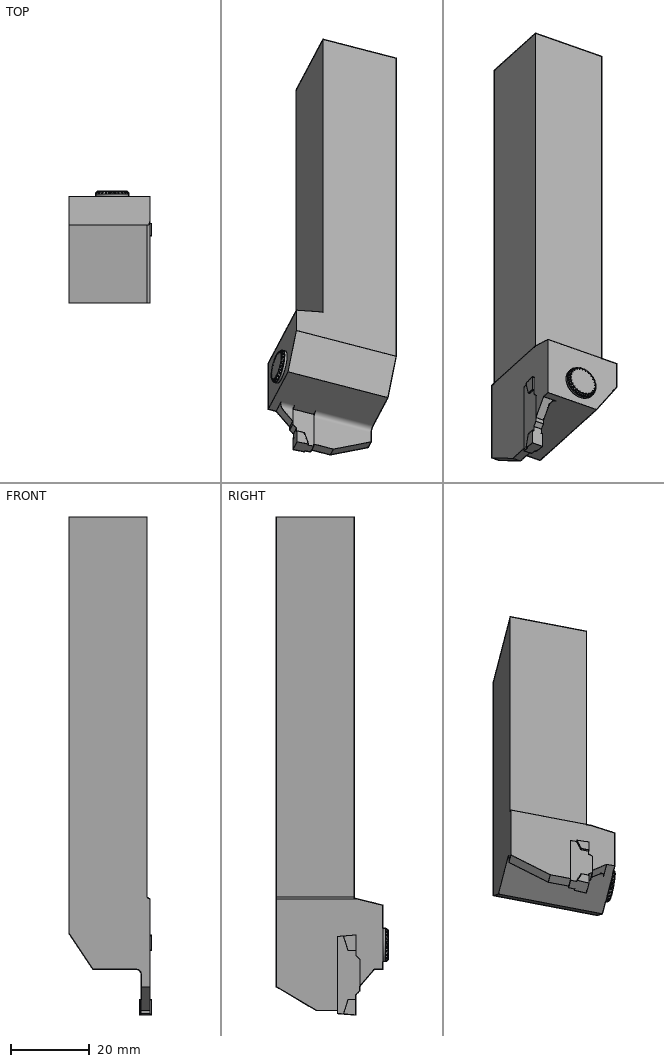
import cadquery as cq
import math

TOTAL_LENGTH = 126.4
SHANK_SIZE = 19.8

HEAD_WIDTH = 20.6
HEAD_HEIGHT = 27.0
HEAD_BOTTOM = 11.6
HEAD_SIDE_TOP = 30.0
HEAD_SIDE_BEVEL = 0.5
HEAD_BACK_TOP = 27.9
HEAD_BACK_SLOPE_TOP = 29.7
BEVEL_WIDTH = 6.1
BEVEL_TOP = 20.7

BLADE_THICKNESS = 2.3
BLADE_BOTTOM = 1.1
BLADE_FRONT_BOTTOM = 7.2
BLADE_SLOPE_HEIGHT = 10.2
CLAMP_TIP_BOTTOM = 7.3
CLAMP_BACK = 24.9
BLADE_FILLET = 1.4

INSERT_LENGTH = 20.3
INSERT_FRONT = 15.5
INSERT_BACK = 21.2
RAKE_Y = 20.2
RAKE_LENGTH = 5.2
RAKE_RAMP = 1.0
TIP_RELIEF = 0.4
TIP_OVERHANG = 0.4
TIP_LENGTH = 3.9
TIP_TOP_FRONT = 18.2
TIP_LOW_FRONT = 17.0

SCREW_DIAMETER = 8.5
SCREW_X = 11.0
SCREW_Z = 17.8
SCREW_HEIGHT = 1.4
SCREW_CHAMFER = 0.5
KNURL_COUNT = 24
KNURL_DEPTH = 0.3
KNURL_LENGTH = 0.8
KNURL_FILL = 0.8

BLADE_X = HEAD_WIDTH - BLADE_THICKNESS


def side_prism(points, x_start, width):
    """Extrude a (Y, Z) outline along +X from x_start."""
    return cq.Workplane("YZ", origin=(x_start, 0, 0)).polyline(points).close().extrude(width)


def front_prism(outline, height):
    """Extrude an (X, Z) outline along +Y from Y = 0."""
    return outline.close().extrude(-height)


def make_shank():
    length = TOTAL_LENGTH - HEAD_SIDE_TOP
    return cq.Workplane("XY", origin=(0, 0, HEAD_SIDE_TOP)).rect(
        SHANK_SIZE, SHANK_SIZE, centered=False
    ).extrude(length)


def make_head():
    """Head and blade: the front outline limited by the side outline."""
    fillet_reach = BLADE_FILLET * math.sqrt(0.5)
    fillet_middle = (
        BLADE_X - BLADE_FILLET + fillet_reach,
        HEAD_BOTTOM - BLADE_FILLET + fillet_reach,
    )
    front = front_prism(
        cq.Workplane("XZ")
        .moveTo(0, HEAD_SIDE_TOP)
        .lineTo(0, BEVEL_TOP)
        .lineTo(BEVEL_WIDTH, HEAD_BOTTOM)
        .lineTo(BLADE_X - BLADE_FILLET, HEAD_BOTTOM)
        .threePointArc(fillet_middle, (BLADE_X, HEAD_BOTTOM - BLADE_FILLET))
        .lineTo(BLADE_X, 0)
        .lineTo(HEAD_WIDTH, 0)
        .lineTo(HEAD_WIDTH, HEAD_SIDE_TOP - HEAD_SIDE_BEVEL)
        .lineTo(SHANK_SIZE, HEAD_SIDE_TOP),
        HEAD_HEIGHT,
    )
    side = side_prism(
        [
            (0, HEAD_SIDE_TOP),
            (0, BLADE_FRONT_BOTTOM),
            (BLADE_SLOPE_HEIGHT, BLADE_BOTTOM),
            (INSERT_FRONT, BLADE_BOTTOM),
            (INSERT_FRONT, CLAMP_TIP_BOTTOM),
            (INSERT_BACK, CLAMP_TIP_BOTTOM),
            (CLAMP_BACK, HEAD_BOTTOM),
            (HEAD_HEIGHT, HEAD_BOTTOM),
            (HEAD_HEIGHT, HEAD_BACK_TOP),
            (SHANK_SIZE, HEAD_BACK_SLOPE_TOP),
            (SHANK_SIZE, HEAD_SIDE_TOP),
        ],
        0,
        HEAD_WIDTH,
    )
    return front.intersect(side)


def make_screw_head():
    """Chamfered disc with V grooves around its outer end."""
    radius = SCREW_DIAMETER / 2
    top = HEAD_HEIGHT + SCREW_HEIGHT
    screw = (
        cq.Workplane("XZ", origin=(SCREW_X, HEAD_HEIGHT, SCREW_Z))
        .circle(radius)
        .extrude(-SCREW_HEIGHT)
        .faces(">Y")
        .chamfer(SCREW_CHAMFER)
    )
    root_radius = radius - SCREW_CHAMFER - KNURL_DEPTH
    groove_half_width = math.pi * radius / KNURL_COUNT * KNURL_FILL
    groove = (
        cq.Workplane("XZ", origin=(SCREW_X, top - KNURL_LENGTH, SCREW_Z))
        .polyline([(root_radius, 0), (radius, groove_half_width), (radius, -groove_half_width)])
        .close()
        .extrude(-KNURL_LENGTH)
    )
    axis_start = (SCREW_X, 0, SCREW_Z)
    axis_end = (SCREW_X, 1, SCREW_Z)
    grooves = [
        groove.rotate(axis_start, axis_end, 360 / KNURL_COUNT * i).val() for i in range(KNURL_COUNT)
    ]
    return screw.cut(cq.Workplane(cq.Compound.makeCompound(grooves)))


def make_tip():
    """Wider cutting tip at the lower end of the insert."""
    return side_prism(
        [
            (RAKE_Y, 0),
            (RAKE_Y, TIP_LENGTH),
            (TIP_TOP_FRONT, TIP_LENGTH),
            (TIP_LOW_FRONT, TIP_RELIEF * (RAKE_Y - TIP_LOW_FRONT) / (RAKE_Y - INSERT_FRONT)),
        ],
        BLADE_X - TIP_OVERHANG,
        BLADE_THICKNESS + 2 * TIP_OVERHANG,
    )


def make_insert():
    lower_half = side_prism(
        [
            (RAKE_Y, 0),
            (RAKE_Y, RAKE_LENGTH),
            (INSERT_BACK, RAKE_LENGTH + RAKE_RAMP),
            (INSERT_BACK, INSERT_LENGTH / 2),
            (INSERT_FRONT, INSERT_LENGTH / 2),
            (INSERT_FRONT, TIP_RELIEF),
        ],
        BLADE_X,
        BLADE_THICKNESS,
    ).union(make_tip())
    upper_half = lower_half.mirror("XY", (0, 0, INSERT_LENGTH / 2))
    return lower_half.union(upper_half).clean()


def make_fillet_clearance():
    """Gap in the blade fillet that lets the straight insert side reach the head."""
    corner = (BLADE_X - BLADE_FILLET, INSERT_FRONT, HEAD_BOTTOM - BLADE_FILLET)
    return cq.Workplane("XY", origin=corner).box(
        BLADE_FILLET, INSERT_BACK - INSERT_FRONT, BLADE_FILLET, centered=False
    )


insert = make_insert()
holder = make_shank().union(make_head()).union(make_screw_head())
holder = holder.cut(make_fillet_clearance()).cut(insert)

result = cq.Compound.makeCompound([holder.solids().val(), insert.solids().val()])